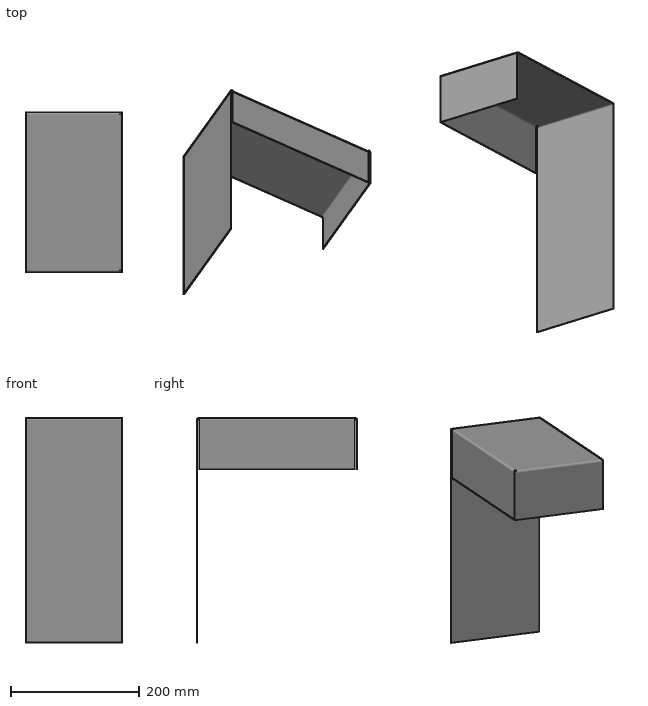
import cadquery as cq

width = 150.0
depth = 250.0
front_height = 350.0
short_height = 80.0

thickness = 1.0
bend_radius = 3.5
inner_radius = bend_radius - thickness

flat_width = width - bend_radius
flat_depth = depth - 2 * bend_radius
top_z = front_height
bend_z = top_z - bend_radius


def bent_leg(drop, length):
    """Bend and hanging leg, turning down towards +Y and running along +X.

    The bend axis is the X axis; drop is measured from the top of the sheet.
    """
    leg_end = bend_radius - drop
    return (
        cq.Workplane("YZ")
        .moveTo(0, bend_radius)
        .radiusArc((bend_radius, 0), bend_radius)
        .lineTo(bend_radius, leg_end)
        .lineTo(inner_radius, leg_end)
        .lineTo(inner_radius, 0)
        .radiusArc((0, inner_radius), -inner_radius)
        .close()
        .extrude(length)
    )


top_sheet = (
    cq.Workplane("XY")
    .box(flat_width, flat_depth, thickness, centered=(False, True, False))
    .translate((0, 0, top_z - thickness))
)

back_leg = bent_leg(short_height, width).translate((0, flat_depth / 2, bend_z))
front_leg = bent_leg(front_height, width).mirror("XZ").translate((0, -flat_depth / 2, bend_z))

side_flange = bent_leg(short_height, flat_depth).rotate((0, 0, 0), (0, 0, 1), -90)
side_flange = side_flange.translate((flat_width, flat_depth / 2, bend_z))

result = top_sheet.union(back_leg).union(front_leg).union(side_flange)